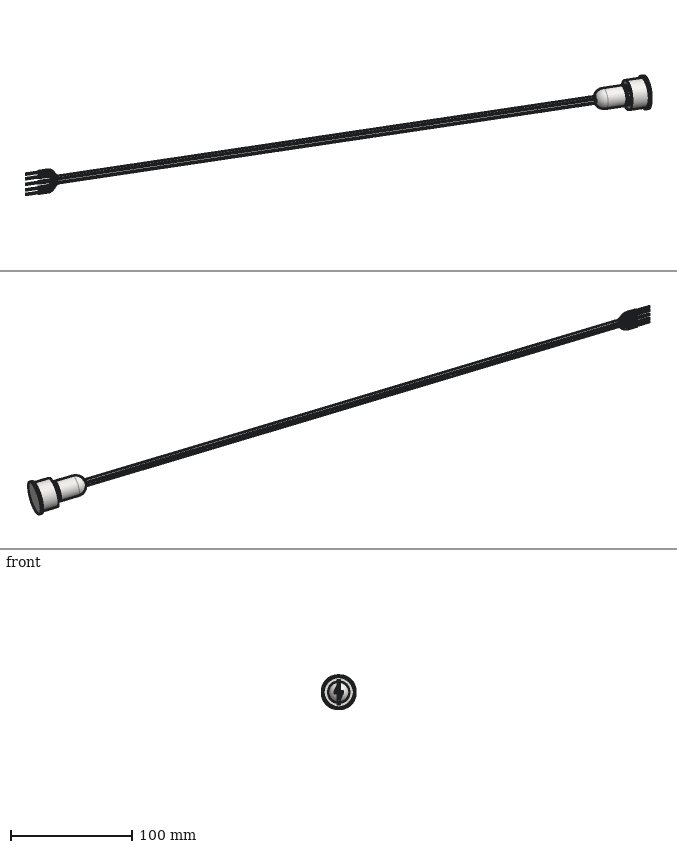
import cadquery as cq
import math

total_length = 546.2
face_y = total_length / 2

flange_dia = 28.0
flange_thickness = 2.0
body_dia = 25.0
body_end = 16.5
neck_dia = 17.5
collar_end = 18.6
groove_dia = 15.7
groove_end = 20.0
dome_start = 36.5

insulation_dia = 2.2
conductor_dia = 1.1
wire_pitch = 2.3
bundle_end = 517.0
fan_end = 527.5
insulation_end = 535.0
conductor_embed = 4.0
inner_tip_height = 5.0
outer_tip_height = 9.1

wires = [
    ((0, 0), 0),
    ((0, wire_pitch), outer_tip_height),
    ((0, -wire_pitch), -outer_tip_height),
    ((-wire_pitch, 0), inner_tip_height),
    ((wire_pitch, 0), -inner_tip_height),
]


def along(distance):
    """Y coordinate at a distance behind the flange face."""
    return face_y - distance


def make_head():
    """Flange, body, grooved neck and hemispherical dome, revolved about Y."""
    neck_radius = neck_dia / 2
    mid_offset = neck_radius * math.sin(math.pi / 4)
    profile = (
        cq.Workplane("XY")
        .moveTo(0, along(0))
        .lineTo(flange_dia / 2, along(0))
        .lineTo(flange_dia / 2, along(flange_thickness))
        .lineTo(body_dia / 2, along(flange_thickness))
        .lineTo(body_dia / 2, along(body_end))
        .lineTo(neck_radius, along(body_end))
        .lineTo(neck_radius, along(collar_end))
        .lineTo(groove_dia / 2, along(collar_end))
        .lineTo(groove_dia / 2, along(groove_end))
        .lineTo(neck_radius, along(groove_end))
        .lineTo(neck_radius, along(dome_start))
        .threePointArc(
            (mid_offset, along(dome_start + mid_offset)),
            (0, along(dome_start + neck_radius)),
        )
        .close()
    )
    return profile.revolve(360, (0, 0, 0), (0, 1, 0))


def rod(diameter, start, end, x, z):
    """Cylinder parallel to Y between two distances behind the flange face."""
    base = cq.Vector(x, along(start), z)
    return cq.Workplane(obj=cq.Solid.makeCylinder(diameter / 2, end - start, base, cq.Vector(0, -1, 0)))


def make_wire(bundle_place, tip_height):
    """Insulated wire running from inside the dome to its tip, with a bare conductor at the end."""
    x, z = bundle_place
    bundled = rod(insulation_dia, dome_start, bundle_end, x, z)
    tip = rod(insulation_dia, fan_end, insulation_end, 0, tip_height)
    conductor = rod(conductor_dia, insulation_end - conductor_embed, total_length, 0, tip_height)

    backward = cq.Vector(0, -1, 0)
    bend_start = cq.Vector(x, along(bundle_end), z)
    bend_end = cq.Vector(0, along(fan_end), tip_height)
    bend_path = cq.Edge.makeSpline([bend_start, bend_end], tangents=[backward, backward])
    bend_section = cq.Workplane(cq.Plane(bend_start, (1, 0, 0), backward)).circle(insulation_dia / 2)
    bend = bend_section.sweep(cq.Workplane(obj=cq.Wire.assembleEdges([bend_path])))
    return bundled.union(bend).union(tip).union(conductor)


result = make_head()
for bundle_place, tip_height in wires:
    result = result.union(make_wire(bundle_place, tip_height))